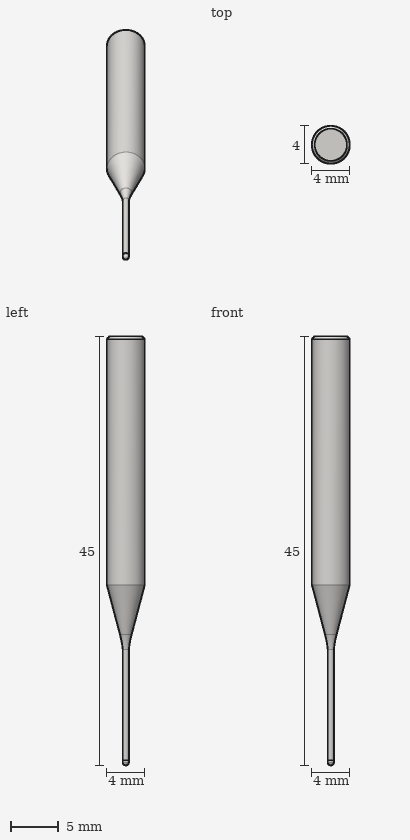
import cadquery as cq
import math

total_length = 45.0
shank_radius = 2.002
shank_chamfer = 0.3

ball_radius = 0.338
tip_length = 0.55

neck_radius = ball_radius
neck_top = 12.2
flare_top_radius = 0.65
flare_top = 13.75
flare_middle_radius = 0.45
cone_top = 18.95


def revolve_about_z(profile):
    """Turn a closed (radius, height) profile about Z, with the seam toward -Y."""
    turned = profile.revolve(360, (0, 0, 0), (0, 1, 0))
    return turned.rotate((0, 0, 0), (0, 0, 1), -90)


def make_tip():
    arc_offset = ball_radius * math.sqrt(0.5)
    profile = (
        cq.Workplane("XZ")
        .moveTo(0, 0)
        .threePointArc((arc_offset, ball_radius - arc_offset), (ball_radius, ball_radius))
        .lineTo(ball_radius, tip_length)
        .lineTo(0, tip_length)
        .close()
    )
    return revolve_about_z(profile)


def make_shank():
    flare_middle = (flare_middle_radius, (neck_top + flare_top) / 2)
    profile = (
        cq.Workplane("XZ")
        .moveTo(0, tip_length)
        .lineTo(neck_radius, tip_length)
        .lineTo(neck_radius, neck_top)
        .threePointArc(flare_middle, (flare_top_radius, flare_top))
        .lineTo(shank_radius, cone_top)
        .lineTo(shank_radius, total_length - shank_chamfer)
        .lineTo(shank_radius - shank_chamfer, total_length)
        .lineTo(0, total_length)
        .close()
    )
    return revolve_about_z(profile)


tip = make_tip()
shank = make_shank()

result = cq.Compound.makeCompound([tip.val(), shank.val()])